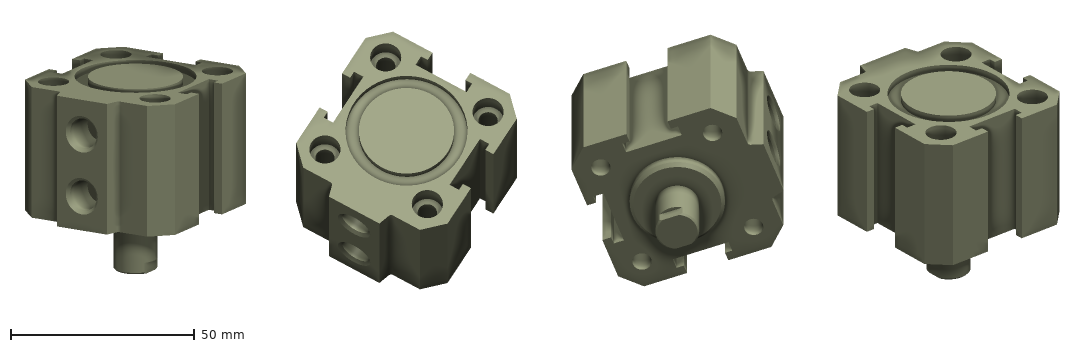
import cadquery as cq
import math

block_width = 48.0
overall_depth = 52.0
overall_height = 54.5
block_height = 37.0
corner_chamfer = 5.5
half_width = block_width / 2

slot_opening = 12.0
slot_inner_width = 16.2
slot_lip = 2.55
slot_depth = 5.5

pad_height = overall_depth - block_width
pad_face_width = 16.0
pad_flank_angle = 17.0
pad_root_radius = 1.0
pad_root_width = pad_face_width + 2 * pad_height * math.tan(math.radians(pad_flank_angle))

port_diameter = 8.5
port_mouth_chamfer = 0.85
port_depth = 10.0
port_heights = (9.7, 27.25)

mount_spacing = 32.5
mount_diameter = 5.3
counterbore_diameter = 8.5
counterbore_depth = 5.5

recess_diameter = 33.3
recess_depth = 2.0

collar_diameter = 26.0
collar_height = 3.5
collar_chamfer = 1.0

rod_diameter = 12.0
rod_length = overall_height - block_height - collar_height
rod_end_chamfer = 0.5
rod_across_flats = 10.0
rod_flat_length = 3.2


def make_block():
    return (
        cq.Workplane("XY")
        .rect(block_width, block_width)
        .extrude(block_height)
        .edges("|Z")
        .chamfer(corner_chamfer)
    )


def add_port_pad(body):
    front_y = -half_width
    face_y = front_y - pad_height
    pad = (
        cq.Workplane("XY")
        .polyline([
            (-pad_root_width / 2, front_y),
            (-pad_face_width / 2, face_y),
            (pad_face_width / 2, face_y),
            (pad_root_width / 2, front_y),
            (pad_root_width / 2, 0),
            (-pad_root_width / 2, 0),
        ])
        .close()
        .extrude(block_height)
    )
    joined = body.union(pad)
    root_edges = [
        edge
        for edge in joined.edges("|Z").vals()
        if math.isclose(edge.Center().y, front_y, abs_tol=0.005)
        and math.isclose(abs(edge.Center().x), pad_root_width / 2, abs_tol=0.005)
    ]
    return joined.newObject(root_edges).fillet(pad_root_radius)


def make_slot_cutter():
    """T-slot open towards +X."""
    opening = cq.Workplane("XY").box(slot_depth, slot_opening, block_height, centered=(False, True, False))
    inner = cq.Workplane("XY").box(
        slot_depth - slot_lip, slot_inner_width, block_height, centered=(False, True, False)
    )
    return opening.union(inner).translate((half_width - slot_depth, 0, 0))


def make_port_cutter(height):
    """Flat-bottomed blind hole with a conical mouth, running along Y."""
    face_y = -half_width - pad_height
    radius = port_diameter / 2
    profile = [
        (0, 0),
        (radius + port_mouth_chamfer, 0),
        (radius, port_mouth_chamfer),
        (radius, port_depth),
        (0, port_depth),
    ]
    return (
        cq.Workplane("XY")
        .polyline(profile)
        .close()
        .revolve(360, (0, 0), (0, 1))
        .translate((0, face_y, height))
    )


def make_collar():
    return (
        cq.Workplane("XY")
        .circle(collar_diameter / 2)
        .extrude(-collar_height)
        .faces("<Z")
        .chamfer(collar_chamfer)
    )


def make_housing():
    body = add_port_pad(make_block())
    for angle in (0, 90, 180):
        body = body.cut(make_slot_cutter().rotate((0, 0, 0), (0, 0, 1), angle))
    for height in port_heights:
        body = body.cut(make_port_cutter(height))
    recess = (
        cq.Workplane("XY", origin=(0, 0, block_height))
        .circle(recess_diameter / 2)
        .circle(collar_diameter / 2)
        .extrude(-recess_depth)
    )
    body = body.cut(recess)
    body = (
        body.union(make_collar())
        .faces(">Z")
        .workplane(origin=(0, 0, block_height))
        .rect(mount_spacing, mount_spacing, forConstruction=True)
        .vertices()
        .cboreHole(mount_diameter, counterbore_diameter, counterbore_depth)
    )
    return body


def make_rod():
    """Rod that starts on the collar face and ends in a pair of wrench flats."""
    rod = (
        cq.Workplane("XY", origin=(0, 0, -collar_height))
        .circle(rod_diameter / 2)
        .extrude(-rod_length)
        .faces("<Z")
        .chamfer(rod_end_chamfer)
    )
    end_z = -collar_height - rod_length
    for side in (-1, 1):
        flat_cutter = (
            cq.Workplane("XY")
            .box(rod_diameter, rod_diameter, rod_flat_length, centered=(True, True, False))
            .translate((side * (rod_across_flats + rod_diameter) / 2, 0, end_z))
        )
        rod = rod.cut(flat_cutter)
    return rod


housing = make_housing()
rod = make_rod()
result = cq.Compound.makeCompound([housing.val(), rod.val()])